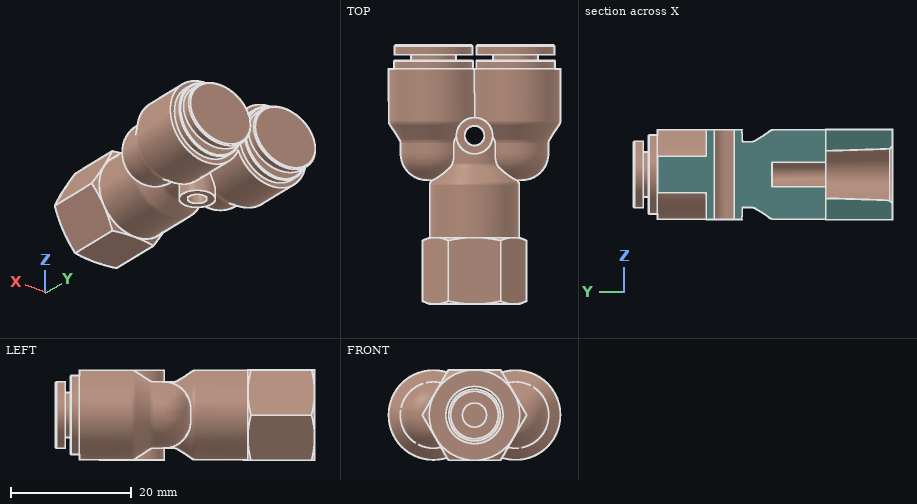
import cadquery as cq
import math

LENGTH = 42.95
NUT_LENGTH = 11.05
BARREL_END = 39.0
COLLAR_END = 40.45
BUTTON_NECK_END = 41.3

BARREL_DIA = 14.9
WAIST_DIA = 11.0
BARREL_PITCH = 13.6
BEND_RADIUS = 1.0
STEM_CONE_START = 20.0
CONE_LENGTH = 3.0
BARREL_CONE_END = 30.02
DOME_TIP = 20.55
DOME_RADIUS = 4.42
PASSAGE_DIA = 4.0
PASSAGE_DEPTH = 8.95
EYE_Y = 27.9
EYE_DIA = 6.0
EYE_HOLE_DIA = 3.2

NUT_FLATS = 15.0
NUT_CORNERS = NUT_FLATS / math.cos(math.pi / 6)
NUT_CHAMFER_ANGLE = 23.0
BORE_DIA = 8.55
BORE_TAPER = 1 / 16
BORE_CHAMFER = 0.47

COLLAR_DIA = 13.15
COLLAR_CHAMFER = 0.17
BUTTON_WIDTH = 12.95
BUTTON_HEIGHT = 11.1
BUTTON_CHAMFER = 0.2
BUTTON_NECK_DIA = 7.5


def rod(diameter, start, end, x=0.0):
    """Cylinder along Y between two Y positions."""
    return cq.Workplane("XZ", origin=(x, start, 0)).circle(diameter / 2).extrude(start - end)


def revolve_about_y(outline):
    """Solid of revolution about the Y axis from a closed (radius, Y) outline."""
    return outline.close().revolve(360, (0, 0, 0), (0, 1, 0))


def round_cone_corners(body, cone_start, cone_end):
    """Round the two circular edges at the ends of a cone."""
    reach = BARREL_DIA
    margin = 0.05
    for y in (cone_start, cone_end):
        corner = cq.selectors.BoxSelector((-reach, y - margin, -reach), (reach, y + margin, reach))
        body = body.edges(corner).edges("%CIRCLE").fillet(BEND_RADIUS)
    return body


def make_stem():
    """Stem from the nut, narrowing to a waist that ends between the barrels."""
    cone_end = STEM_CONE_START + CONE_LENGTH
    outline = (
        cq.Workplane("XY")
        .moveTo(0, NUT_LENGTH)
        .lineTo(BARREL_DIA / 2, NUT_LENGTH)
        .lineTo(BARREL_DIA / 2, STEM_CONE_START)
        .lineTo(WAIST_DIA / 2, cone_end)
        .lineTo(WAIST_DIA / 2, BARREL_CONE_END)
        .lineTo(0, BARREL_CONE_END)
    )
    return round_cone_corners(revolve_about_y(outline), STEM_CONE_START, cone_end)


def make_barrel():
    """Tube socket, narrowing to a waist with a domed end."""
    cone_start = BARREL_CONE_END - CONE_LENGTH
    outline = (
        cq.Workplane("XY")
        .moveTo(0, DOME_TIP)
        .lineTo(WAIST_DIA / 2 - DOME_RADIUS, DOME_TIP)
        .radiusArc((WAIST_DIA / 2, DOME_TIP + DOME_RADIUS), -DOME_RADIUS)
        .lineTo(WAIST_DIA / 2, cone_start)
        .lineTo(BARREL_DIA / 2, BARREL_CONE_END)
        .lineTo(BARREL_DIA / 2, BARREL_END)
        .lineTo(0, BARREL_END)
    )
    return round_cone_corners(revolve_about_y(outline), cone_start, BARREL_CONE_END)


def make_eye(diameter):
    """Upright cylinder of full housing height at the mounting eye."""
    return (
        cq.Workplane("XY", origin=(0, EYE_Y, 0))
        .circle(diameter / 2)
        .extrude(BARREL_DIA / 2, both=True)
    )


def make_housing(barrel_positions):
    housing = make_stem()
    barrel = make_barrel()
    for x in barrel_positions:
        housing = housing.union(barrel.translate((x, 0, 0)))
    housing = housing.union(make_eye(EYE_DIA)).cut(make_eye(EYE_HOLE_DIA))
    return housing.cut(rod(PASSAGE_DIA, NUT_LENGTH, NUT_LENGTH + PASSAGE_DEPTH))


def make_nut():
    """Hexagon with corners chamfered at both ends and a tapered bore."""
    hexagon = cq.Workplane("XZ").polygon(6, NUT_CORNERS).extrude(-NUT_LENGTH)
    face_radius = NUT_FLATS / 2
    corner_radius = NUT_CORNERS / 2
    drop = (corner_radius - face_radius) * math.tan(math.radians(NUT_CHAMFER_ANGLE))
    envelope = revolve_about_y(
        cq.Workplane("XY")
        .lineTo(face_radius, 0)
        .lineTo(corner_radius, drop)
        .lineTo(corner_radius, NUT_LENGTH - drop)
        .lineTo(face_radius, NUT_LENGTH)
        .lineTo(0, NUT_LENGTH)
    )
    mouth_radius = BORE_DIA / 2
    bore = revolve_about_y(
        cq.Workplane("XY")
        .lineTo(mouth_radius + BORE_CHAMFER, 0)
        .lineTo(mouth_radius, BORE_CHAMFER)
        .lineTo(mouth_radius - BORE_TAPER * NUT_LENGTH / 2, NUT_LENGTH)
        .lineTo(0, NUT_LENGTH)
    )
    return hexagon.intersect(envelope).cut(bore)


def make_collar(x):
    return rod(COLLAR_DIA, BARREL_END, COLLAR_END, x).faces(">Y").edges().chamfer(COLLAR_CHAMFER)


def make_button(x):
    """Oval push head on a round neck standing on the collar."""
    head = (
        cq.Workplane("XZ", origin=(x, BUTTON_NECK_END, 0))
        .ellipse(BUTTON_WIDTH / 2, BUTTON_HEIGHT / 2)
        .extrude(BUTTON_NECK_END - LENGTH)
        .faces(">Y").edges().chamfer(BUTTON_CHAMFER)
    )
    return head.union(rod(BUTTON_NECK_DIA, COLLAR_END, BUTTON_NECK_END, x))


barrel_positions = (-BARREL_PITCH / 2, BARREL_PITCH / 2)
housing = make_housing(barrel_positions)
nut = make_nut()
collars = [make_collar(x).val() for x in barrel_positions]
buttons = [make_button(x).val() for x in barrel_positions]

result = cq.Compound.makeCompound([housing.val(), nut.val(), *collars, *buttons])